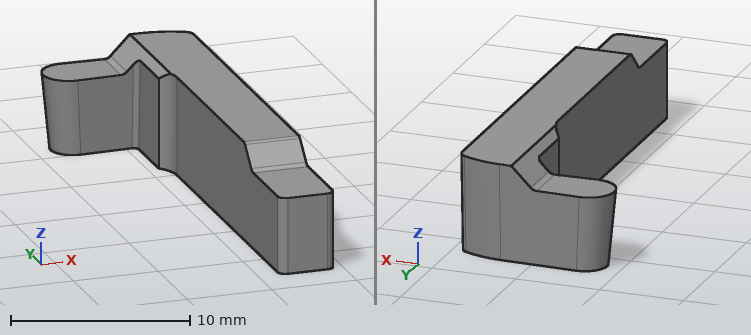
import math

import cadquery as cq

bar_width = 3.25
bar_height = 5.79
end_corner_radius = 0.45

step_height = 4.49
step_slope = math.radians(45)
step_root_radius = 0.5
tail_slope_top_y = 6.13
tail_crest_radius = 0.3
arm_slope_top_x = -3.38

head_width = bar_width + 0.6
blend_end_y = 17.7
blend_radius = 2.0

overall_length_x = 9.0
overall_length_y = 25.55
arm_tip_radius = 1.5
arm_center_y = overall_length_y - arm_tip_radius
side_draft = math.radians(2.5)
tip_draft = math.radians(5.7)
side_taper = math.radians(1.7)
inner_corner_radius = 0.3

back_arc_start_x = -2.65
back_arc_radius = 5.5
back_corner_radius = 0.65


def polar(center, radius, angle):
    return (center[0] + radius * math.cos(angle), center[1] + radius * math.sin(angle))


def outline(z):
    """Closed plan outline of the uncut part at height z, before its upright edges are rounded."""
    tip_radius = arm_tip_radius + (z - step_height) * math.tan(side_draft)
    tip_x = -overall_length_x - (z - step_height) * math.tan(tip_draft)
    tip_center = (tip_x + tip_radius, arm_center_y)
    side_angle = math.pi / 2 - side_taper
    back_tangent = polar(tip_center, tip_radius, side_angle)
    front_tangent = polar(tip_center, tip_radius, -side_angle)

    def half_width(x):
        return back_tangent[1] - arm_center_y - (x - back_tangent[0]) * math.tan(side_taper)

    arc_start = (back_arc_start_x, arm_center_y + half_width(back_arc_start_x))
    arc_center = polar(arc_start, -back_arc_radius, side_angle)
    center_gap = back_arc_radius - back_corner_radius
    corner_angle = math.acos((-back_corner_radius - arc_center[0]) / center_gap)
    corner_center = polar(arc_center, center_gap, corner_angle)
    arc_end = polar(arc_center, back_arc_radius, corner_angle)
    arc_middle = polar(arc_center, back_arc_radius, (side_angle + corner_angle) / 2)
    corner_middle = polar(corner_center, back_corner_radius, corner_angle / 2)

    blend_center = (-bar_width - blend_radius, blend_end_y)
    blend_angle = math.acos(1 - (head_width - bar_width) / blend_radius)

    return (
        cq.Workplane("XY", origin=(0, 0, z))
        .moveTo(0, 0)
        .lineTo(0, corner_center[1])
        .threePointArc(corner_middle, arc_end)
        .threePointArc(arc_middle, arc_start)
        .lineTo(*back_tangent)
        .threePointArc((tip_x, arm_center_y), front_tangent)
        .lineTo(-head_width, arm_center_y - half_width(-head_width))
        .lineTo(*polar(blend_center, blend_radius, blend_angle))
        .threePointArc(
            polar(blend_center, blend_radius, blend_angle / 2),
            (-bar_width, blend_end_y),
        )
        .lineTo(-bar_width, 0)
        .close()
        .wire()
        .val()
    )


def upright_edge_box(x, y):
    """Selector for the full-height edge standing near (x, y)."""
    half = 0.4
    return cq.selectors.BoxSelector(
        (x - half, y - half, 0),
        (x + half, y + half, bar_height),
    )


def body():
    blank = cq.Workplane(cq.Solid.makeLoft([outline(0), outline(bar_height)], True))
    for x in (0, -bar_width):
        blank = blank.edges(upright_edge_box(x, 0)).fillet(end_corner_radius)
    inner_corner_y = arm_center_y - arm_tip_radius
    return blank.edges(upright_edge_box(-head_width, inner_corner_y)).fillet(inner_corner_radius)


def step_cutter(plane, slope_top, depth):
    """Space above a lowered level: a slope falling outwards to a rounded root.

    The profile's first axis points up the slope and its second axis is Z.
    The sign of depth picks the side of the plane to fill.
    """
    drop = bar_height - step_height
    slope_bottom = slope_top - drop / math.tan(step_slope)
    clearance = 1.0
    far = slope_bottom - overall_length_y
    root_tangent = step_root_radius * math.tan(step_slope / 2)
    root_start = (slope_bottom - root_tangent, step_height)
    root_end = (
        slope_bottom + root_tangent * math.cos(step_slope),
        step_height + root_tangent * math.sin(step_slope),
    )
    root_center = (root_start[0], step_height + step_root_radius)
    root_middle = polar(root_center, step_root_radius, (step_slope - math.pi) / 2)
    return (
        cq.Workplane(plane)
        .moveTo(far, step_height)
        .lineTo(*root_start)
        .threePointArc(root_middle, root_end)
        .lineTo(slope_top, bar_height)
        .lineTo(slope_top, bar_height + clearance)
        .lineTo(far, bar_height + clearance)
        .close()
        .extrude(depth)
    )


arm_step = step_cutter("XZ", arm_slope_top_x, -2 * overall_length_y)
tail_step = step_cutter("YZ", tail_slope_top_y, -2 * overall_length_x)

part = body().cut(arm_step).cut(tail_step)
tail_crest = cq.selectors.NearestToPointSelector((-bar_width / 2, tail_slope_top_y, bar_height))
result = part.edges(tail_crest).fillet(tail_crest_radius)